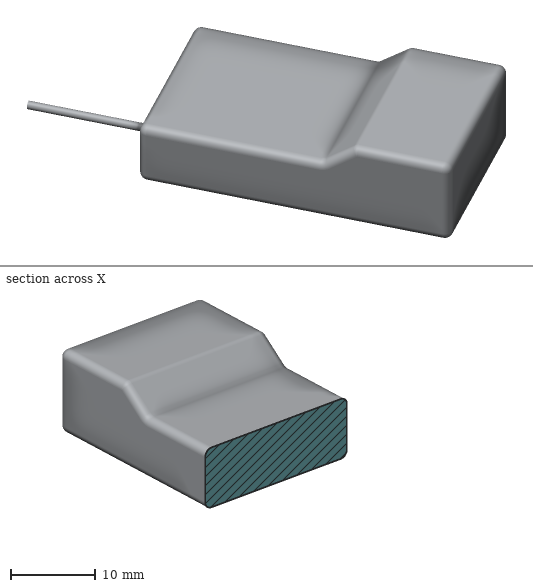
import cadquery as cq

total_length = 54.0
body_length = 39.0
body_width = 22.0
low_height = 8.0
high_height = 11.0
edge_radius = 1.0

slope_start = 22.95
slope_end = 27.0

wire_diameter = 1.0
wire_length = total_length - body_length
wire_offset_y = -6.95
wire_height = 4.95


def make_body():
    """Stepped housing with its front end at X = 0 and every edge rounded."""
    profile = [
        (0, 0),
        (body_length, 0),
        (body_length, high_height),
        (slope_end, high_height),
        (slope_start, low_height),
        (0, low_height),
    ]
    block = (
        cq.Workplane("XZ")
        .polyline(profile)
        .close()
        .extrude(body_width / 2, both=True)
    )
    return block.edges().fillet(edge_radius)


def make_wire():
    """Straight round wire pointing away from the front end along -X."""
    return (
        cq.Workplane("YZ")
        .center(wire_offset_y, wire_height)
        .circle(wire_diameter / 2)
        .extrude(-wire_length)
    )


result = make_body().union(make_wire())